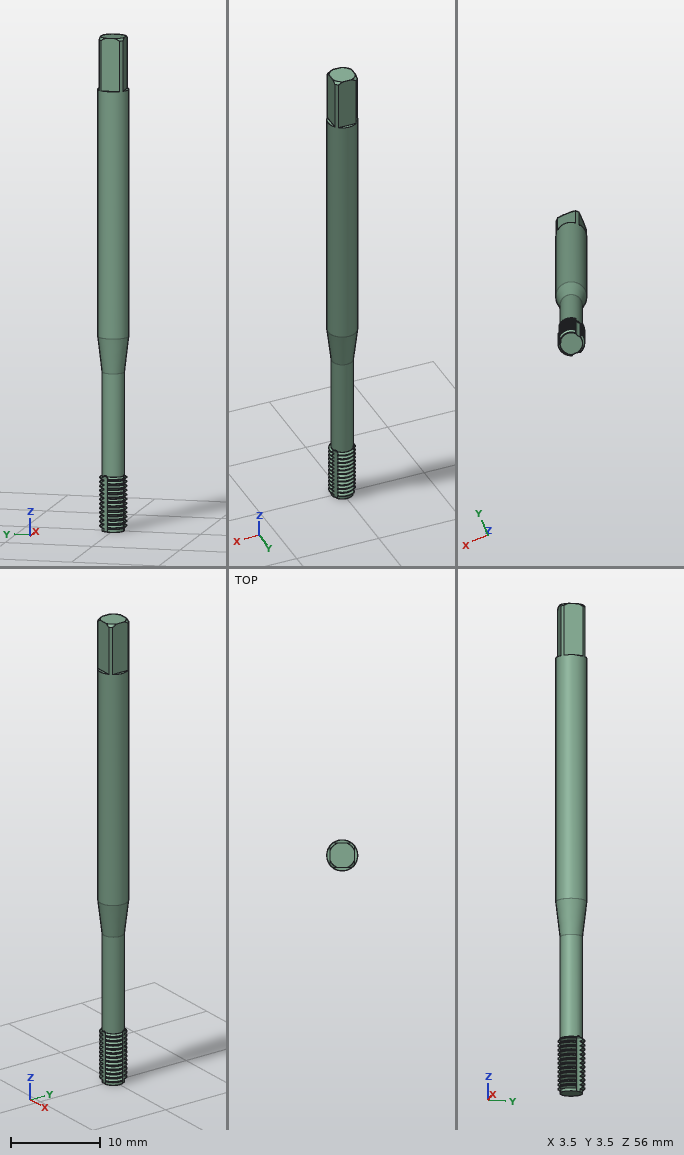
import cadquery as cq

TOTAL_LENGTH = 56.0
SQUARE_LENGTH = 6.0
CONE_TOP = 22.0
CONE_BOTTOM = 18.0
THREAD_LENGTH = 6.3

SHANK_RADIUS = 3.5 / 2
NECK_RADIUS = 2.5 / 2
SQUARE_WIDTH = 2.75
END_CHAMFER = 0.3

CREST_RADIUS = 3.0 / 2
ROOT_RADIUS = NECK_RADIUS
PITCH = 0.5
CREST_FLAT = PITCH / 8
ROOT_FLAT = PITCH / 8
FLANK_WIDTH = (PITCH - CREST_FLAT - ROOT_FLAT) / 2
FIRST_CREST = 0.55
CREST_COUNT = 12

GROOVE_COUNT = 3
GROOVE_RADIUS = 0.55
GROOVE_LENGTH = 6.1
GROOVE_DEPTH = 0.35
GROOVE_FIRST_ANGLE = -90.0


def make_grooves():
    """Round-bottomed grooves along the thread, each ending in a ball at the neck."""
    axis_radius = CREST_RADIUS - GROOVE_DEPTH + GROOVE_RADIUS
    groove = (
        cq.Workplane("XY")
        .center(axis_radius, 0)
        .circle(GROOVE_RADIUS)
        .extrude(GROOVE_LENGTH)
        .union(cq.Workplane("XY").sphere(GROOVE_RADIUS).translate((axis_radius, 0, GROOVE_LENGTH)))
    )
    grooves = []
    for index in range(GROOVE_COUNT):
        angle = GROOVE_FIRST_ANGLE + index * 360.0 / GROOVE_COUNT
        grooves.append(groove.rotate((0, 0, 0), (0, 0, 1), angle))
    return grooves


def make_shank(grooves):
    """Neck, cone and shank turned in one piece, with a driving square at the far end."""
    shank = (
        cq.Workplane("XZ")
        .moveTo(0, THREAD_LENGTH)
        .lineTo(NECK_RADIUS, THREAD_LENGTH)
        .lineTo(NECK_RADIUS, CONE_BOTTOM)
        .lineTo(SHANK_RADIUS, CONE_TOP)
        .lineTo(SHANK_RADIUS, TOTAL_LENGTH - END_CHAMFER)
        .lineTo(SHANK_RADIUS - END_CHAMFER, TOTAL_LENGTH)
        .lineTo(0, TOTAL_LENGTH)
        .close()
        .revolve(360, (0, 0, 0), (0, 1, 0))
    )
    square_bottom = TOTAL_LENGTH - SQUARE_LENGTH
    outside_square = (
        cq.Workplane("XY", origin=(0, 0, square_bottom))
        .circle(2 * SHANK_RADIUS)
        .rect(SQUARE_WIDTH, SQUARE_WIDTH)
        .extrude(SQUARE_LENGTH)
    )
    shank = shank.cut(outside_square)
    for groove in grooves:
        shank = shank.cut(groove)
    return shank


def make_thread(grooves):
    """Ridged forming section with a short plain tip and lengthwise grooves."""
    profile = [(0, 0), (ROOT_RADIUS, 0)]
    for index in range(CREST_COUNT):
        crest = FIRST_CREST + index * PITCH
        profile += [
            (ROOT_RADIUS, crest - CREST_FLAT / 2 - FLANK_WIDTH),
            (CREST_RADIUS, crest - CREST_FLAT / 2),
            (CREST_RADIUS, crest + CREST_FLAT / 2),
            (ROOT_RADIUS, crest + CREST_FLAT / 2 + FLANK_WIDTH),
        ]
    profile += [(ROOT_RADIUS, THREAD_LENGTH), (0, THREAD_LENGTH)]
    thread = cq.Workplane("XZ").polyline(profile).close().revolve(360, (0, 0, 0), (0, 1, 0))

    for groove in grooves:
        thread = thread.cut(groove)
    return thread


grooves = make_grooves()
shank = make_shank(grooves)
thread = make_thread(grooves)

result = cq.Compound.makeCompound([shank.val(), thread.val()])